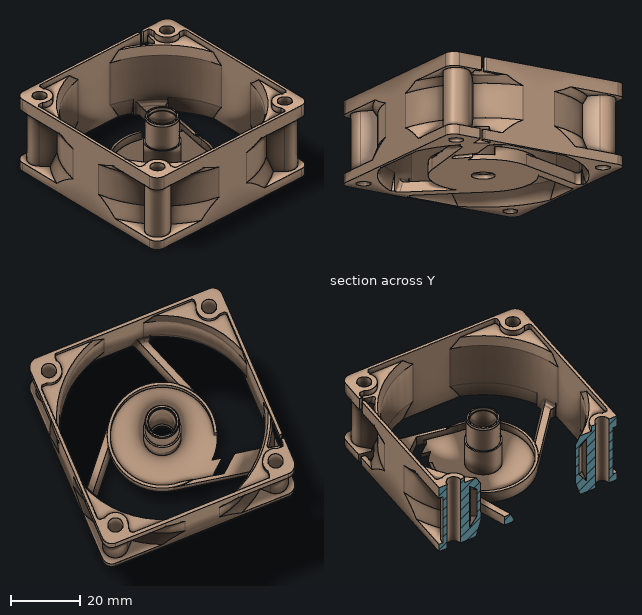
import cadquery as cq
import math

SIDE = 60.0
HEIGHT = 25.0
HALF = SIDE / 2
CORNER_RADIUS = 3.0
WALL = 1.0
WALL_INNER = HALF - WALL
BOTTOM_FLANGE = 3.0
TOP_FLANGE = 4.25
TOP_FLANGE_Z = HEIGHT - TOP_FLANGE

HOLE_PITCH = 50.05
HOLE_OFFSET = HOLE_PITCH / 2
HOLE_DIAMETER = 4.3
POST_RADIUS = 3.8
CORNERS = [(sx * HOLE_OFFSET, sy * HOLE_OFFSET) for sx in (-1, 1) for sy in (-1, 1)]

RECESS_DEPTH = 2.0
RECESS_Z = HEIGHT - RECESS_DEPTH
LAND_EDGE = 21.8
RECESS_CORNER = 0.8

DUCT_RADIUS = 29.65
DUCT_MOUTH_RADIUS = 30.55
DUCT_LOWER_Z = 5.5
DUCT_UPPER_Z = 20.1
SHELL_RADIUS = 30.5
SHELL_BOTTOM_RADIUS = 32.45
SHELL_TOP_RADIUS = 31.9
SHELL_LOWER_Z = 8.0
SHELL_UPPER_Z = 18.4

HUB_RADIUS = 15.9
RIM_WALL = 0.9
RIM_INNER = HUB_RADIUS - RIM_WALL
RIM_Z = 4.0
FLOOR_Z = 1.5
RIM_END_ANGLE = 160.0
TUBE_Z = 18.95
TUBE_STEP_Z = 10.3
TUBE_LOWER_RADIUS = 5.45
TUBE_UPPER_RADIUS = 5.0
TUBE_CHAMFER = 0.25
TUBE_BORE_RADIUS = 3.95
TUBE_MOUTH_RADIUS = 4.2
TUBE_MOUTH_DEPTH = 1.0
TUBE_CHAMFER_HEIGHT = 0.65
SHAFT_HOLE_RADIUS = 3.4

ARM_Z = 3.5
ROOT_FILLET = 1.2
ROOT_MARGIN = 1.3
ROOT_RADIUS = 31.2
ROOT_START_X = 22.2
ROOT_HALF_WIDTH = HALF - WALL / 2
SELECT_MARGIN = 0.05
CABLE_ARM_ANGLE = 169.6
CABLE_ARM_WIDTH = 6.3
CABLE_ARM_WALL = 1.1
ARM_SPACING = 120.0
PLAIN_ARM_ANGLES = (CABLE_ARM_ANGLE - ARM_SPACING, CABLE_ARM_ANGLE - 2 * ARM_SPACING)
PLAIN_ARM_TOP_WIDTH = 2.1
PLAIN_ARM_BOTTOM_WIDTH = 3.4
CABLE_SLOT_WIDTH = 2.8
CABLE_SLOT_X = 14.9
CABLE_SLOT_ANGLE = 51.0
CABLE_SLOT_CORNER = 0.7
CABLE_SLOT_OVERRUN = 0.6

EXIT_SLOPE = 0.2
EXIT_REACH_X = -22.8
UPPER_EXIT_Y = 21.0
UPPER_EXIT_Z = 20.45
UPPER_EXIT_CORNER = (-25.2, 20.3)
UPPER_EXIT_ROUND = 0.7
UPPER_EXIT_TOP_RADIUS = 31.3
UPPER_EXIT_BOTTOM_RADIUS = 31.8
UPPER_SLIT = (18.3, 19.5)
UPPER_SLIT_ROUND = 0.5
LOWER_EXIT_Y = 19.8
LOWER_EXIT_RADIUS = 31.7
LOWER_EXIT_TOP = 5.05
LOWER_EXIT_END = 15.5
LOWER_LIP = 1.55
LOWER_SLIT_START = 18.7
LOWER_SLIT_ROUND = 0.3
LOWER_LIP_ROUND = 0.7


def prism(sketch, bottom, top):
    """Extrude a closed XY wire from one height to another."""
    return sketch.extrude(top - bottom).translate((0, 0, bottom))


def cylinder(radius, bottom, top):
    return prism(cq.Workplane("XY").circle(radius), bottom, top)


def revolved(profile):
    """Revolve (radius, height) points around Z."""
    return cq.Workplane("XZ").polyline(profile).close().revolve(360, (0, 0, 0), (0, 1, 0))


def square_prism(half_width, bottom, top):
    return prism(cq.Workplane("XY").rect(2 * half_width, 2 * half_width), bottom, top)


def at_angle(body, angle):
    return body.rotate((0, 0, 0), (0, 0, 1), angle)


def duct_opening():
    opening = revolved([
        (0, 0),
        (DUCT_MOUTH_RADIUS, 0),
        (DUCT_RADIUS, DUCT_LOWER_Z),
        (DUCT_RADIUS, DUCT_UPPER_Z),
        (DUCT_MOUTH_RADIUS, RECESS_Z),
        (0, RECESS_Z),
    ])
    return opening.intersect(square_prism(WALL_INNER, 0, HEIGHT))


def recess():
    """Square recess leaving a land around each mounting hole."""
    pocket = square_prism(WALL_INNER, RECESS_Z, HEIGHT)
    length = HALF - LAND_EDGE
    width = HALF - HOLE_OFFSET
    for x, y in CORNERS:
        side_x = math.copysign(1, x)
        side_y = math.copysign(1, y)
        for along, across in ((length, width), (width, length)):
            land = cq.Workplane("XY").center(side_x * (HALF - along / 2), side_y * (HALF - across / 2))
            pocket = pocket.cut(prism(land.rect(along, across), RECESS_Z, HEIGHT))
    wall_edges = "|Z and (<X or >X or <Y or >Y)"
    pocket = pocket.edges(wall_edges).fillet(RECESS_CORNER)
    for x, y in CORNERS:
        boss = cq.Workplane("XY").center(x, y).circle(POST_RADIUS)
        pocket = pocket.cut(prism(boss, RECESS_Z, HEIGHT))
    return pocket


def corner_posts():
    """Round posts joined to the duct by diagonal webs of the same width."""
    reach = math.hypot(HOLE_OFFSET, HOLE_OFFSET)
    posts = cq.Workplane("XY")
    for x, y in CORNERS:
        angle = math.degrees(math.atan2(y, x))
        web = cq.Workplane("XY").center(reach / 2, 0).rect(reach, 2 * POST_RADIUS).extrude(HEIGHT)
        post = cq.Workplane("XY").center(reach, 0).circle(POST_RADIUS).extrude(HEIGHT)
        posts = posts.union(at_angle(web.union(post), angle))
    return posts


def frame():
    block = square_prism(HALF, 0, HEIGHT).edges("|Z").fillet(CORNER_RADIUS)
    shell = revolved([
        (0, BOTTOM_FLANGE),
        (SHELL_BOTTOM_RADIUS, BOTTOM_FLANGE),
        (SHELL_RADIUS, SHELL_LOWER_Z),
        (SHELL_RADIUS, SHELL_UPPER_Z),
        (SHELL_TOP_RADIUS, TOP_FLANGE_Z),
        (0, TOP_FLANGE_Z),
    ])
    gaps = square_prism(SIDE, BOTTOM_FLANGE, TOP_FLANGE_Z).cut(shell).cut(corner_posts())
    holes = cq.Workplane("XY").pushPoints(CORNERS).circle(HOLE_DIAMETER / 2).extrude(HEIGHT)
    return block.cut(gaps).cut(duct_opening()).cut(recess()).cut(holes)


def exit_outline(wall_y, outer_x, end_y):
    """Cable opening from an X position inward, with a sloping edge on its +Y side."""
    return cq.Workplane("XY").polyline([
        (outer_x, end_y),
        (outer_x, wall_y - EXIT_SLOPE * (outer_x + WALL_INNER)),
        (EXIT_REACH_X, wall_y - EXIT_SLOPE * (EXIT_REACH_X + WALL_INNER)),
        (EXIT_REACH_X, end_y),
    ]).close()


def slit_flare(y, radius, bottom, top):
    """Material removed to round the outer wall edge on the -Y side of a slit."""
    corner = cq.Workplane("XY").moveTo(-HALF, y).lineTo(-HALF, y - radius)
    corner = corner.radiusArc((-HALF + radius, y), radius).close()
    return prism(corner, bottom, top)


def upper_cable_exit():
    wall = revolved([
        (0, UPPER_EXIT_Z),
        (UPPER_EXIT_BOTTOM_RADIUS, UPPER_EXIT_Z),
        (UPPER_EXIT_TOP_RADIUS, RECESS_Z),
        (0, RECESS_Z),
    ])
    opening = prism(exit_outline(UPPER_EXIT_Y, -WALL_INNER, 0), UPPER_EXIT_Z, RECESS_Z).cut(wall)
    middle_z = (UPPER_EXIT_Z + RECESS_Z) / 2
    far_corner = cq.selectors.NearestToPointSelector((*UPPER_EXIT_CORNER, middle_z))
    opening = opening.edges(far_corner).fillet(UPPER_EXIT_ROUND)
    start, end = UPPER_SLIT
    slit = cq.Workplane("XY").center(-HALF, (start + end) / 2).rect(2 * WALL, end - start)
    flare = slit_flare(start, UPPER_SLIT_ROUND, TOP_FLANGE_Z, HEIGHT)
    return opening.union(prism(slit, TOP_FLANGE_Z, HEIGHT)).union(flare)


def lower_cable_exit():
    wall = cylinder(LOWER_EXIT_RADIUS, 0, HEIGHT)
    lip_x = LOWER_LIP - HALF
    opening = prism(exit_outline(LOWER_EXIT_Y, lip_x, LOWER_EXIT_END), 0, LOWER_EXIT_TOP).cut(wall)
    slit = prism(exit_outline(LOWER_EXIT_Y, -HALF, LOWER_SLIT_START), 0, LOWER_EXIT_TOP).cut(wall)
    opening = opening.union(slit)
    lip_edge = cq.selectors.NearestToPointSelector((lip_x, LOWER_SLIT_START, LOWER_EXIT_TOP / 2))
    flare = slit_flare(LOWER_SLIT_START, LOWER_SLIT_ROUND, 0, BOTTOM_FLANGE)
    return opening.edges(lip_edge).fillet(LOWER_LIP_ROUND).union(flare)


def hub():
    cup = cylinder(HUB_RADIUS, 0, RIM_Z).cut(cylinder(RIM_INNER, FLOOR_Z, RIM_Z))
    tube = revolved([
        (0, 0),
        (TUBE_LOWER_RADIUS, 0),
        (TUBE_LOWER_RADIUS, TUBE_STEP_Z),
        (TUBE_UPPER_RADIUS, TUBE_STEP_Z),
        (TUBE_UPPER_RADIUS, TUBE_Z - TUBE_CHAMFER_HEIGHT),
        (TUBE_UPPER_RADIUS - TUBE_CHAMFER, TUBE_Z),
        (0, TUBE_Z),
    ])
    return cup.union(tube)


def tube_bore():
    return revolved([
        (0, 0),
        (SHAFT_HOLE_RADIUS, 0),
        (SHAFT_HOLE_RADIUS, FLOOR_Z),
        (TUBE_BORE_RADIUS, FLOOR_Z),
        (TUBE_BORE_RADIUS, TUBE_Z - TUBE_MOUTH_DEPTH),
        (TUBE_MOUTH_RADIUS, TUBE_Z - TUBE_MOUTH_DEPTH),
        (TUBE_MOUTH_RADIUS, TUBE_Z),
        (0, TUBE_Z),
    ])


def arm(angle, top_width, bottom_width):
    """Arm with its right-hand edge tangent to the hub, blended into the straight lower duct wall.

    It is built along +X and then turned to its angle.
    """
    edge = -HUB_RADIUS
    bar = cq.Workplane("YZ").polyline([
        (edge, 0),
        (edge, ARM_Z),
        (edge + top_width, ARM_Z),
        (edge + bottom_width, 0),
    ]).close().extrude(DUCT_RADIUS)

    cavity = cylinder(DUCT_RADIUS, 0, HEIGHT).intersect(square_prism(WALL_INNER, 0, HEIGHT))
    wall = square_prism(SIDE, 0, DUCT_LOWER_Z).cut(cavity)
    body = at_angle(wall, -angle).union(bar)
    root_edges = cq.selectors.BoxSelector(
        (ROOT_START_X, edge - SELECT_MARGIN, SELECT_MARGIN),
        (DUCT_RADIUS, edge + bottom_width + SELECT_MARGIN, ARM_Z + SELECT_MARGIN),
    )
    body = body.edges(root_edges).fillet(ROOT_FILLET)

    strip = cq.Workplane("XY").center(SIDE / 2, edge + bottom_width / 2)
    strip = prism(strip.rect(SIDE, bottom_width + 2 * ROOT_MARGIN), 0, DUCT_LOWER_Z)
    limit = cylinder(ROOT_RADIUS, 0, DUCT_LOWER_Z).intersect(square_prism(ROOT_HALF_WIDTH, 0, DUCT_LOWER_Z))
    return at_angle(body.intersect(strip), angle).intersect(limit)


def cable_slot_x(y):
    """X of the slot's centre line at a given Y, in the frame of the cable arm."""
    middle = CABLE_ARM_WIDTH / 2 - HUB_RADIUS
    return CABLE_SLOT_X + (y - middle) / math.tan(math.radians(CABLE_SLOT_ANGLE))


def cable_slot():
    """Slanted slot, closed by the arm's edge wall and open on the other side."""
    closed_y = CABLE_ARM_WALL - HUB_RADIUS
    open_y = CABLE_ARM_WIDTH - HUB_RADIUS + CABLE_SLOT_OVERRUN
    half_run = CABLE_SLOT_WIDTH / 2 / math.sin(math.radians(CABLE_SLOT_ANGLE))
    slot = cq.Workplane("XY").polyline([
        (cable_slot_x(closed_y) - half_run, closed_y),
        (cable_slot_x(closed_y) + half_run, closed_y),
        (cable_slot_x(open_y) + half_run, open_y),
        (cable_slot_x(open_y) - half_run, open_y),
    ]).close().extrude(ARM_Z)
    return slot.edges("|Z and <X").fillet(CABLE_SLOT_CORNER)


def cable_tray():
    """Space above the floor between the hub cup and the cable slot, with a gap in the rim."""
    closed_y = CABLE_ARM_WALL - HUB_RADIUS
    open_y = CABLE_ARM_WIDTH - HUB_RADIUS
    tray = cq.Workplane("XY").polyline([
        (0, closed_y),
        (cable_slot_x(closed_y), closed_y),
        (cable_slot_x(open_y), open_y),
        (0, open_y),
    ]).close()
    gap_angle = math.radians(RIM_END_ANGLE - CABLE_ARM_ANGLE)
    reach = HUB_RADIUS + RIM_WALL
    gap = cq.Workplane("XY").polyline([
        (0, 0),
        (0, open_y),
        (reach, open_y),
        (reach, reach * math.tan(gap_angle)),
    ]).close()
    return prism(tray, FLOOR_Z, RIM_Z).union(prism(gap, FLOOR_Z, RIM_Z))


def hub_and_arms():
    arms = arm(CABLE_ARM_ANGLE, CABLE_ARM_WIDTH, CABLE_ARM_WIDTH)
    for angle in PLAIN_ARM_ANGLES:
        arms = arms.union(arm(angle, PLAIN_ARM_TOP_WIDTH, PLAIN_ARM_BOTTOM_WIDTH))
    arms = arms.cut(cylinder(RIM_INNER, FLOOR_Z, RIM_Z))
    tray = cable_tray().cut(cylinder(TUBE_LOWER_RADIUS, 0, HEIGHT))
    openings = at_angle(cable_slot().union(tray), CABLE_ARM_ANGLE)
    return arms.union(hub()).cut(openings).cut(tube_bore())


result = frame().cut(upper_cable_exit()).cut(lower_cable_exit()).union(hub_and_arms())